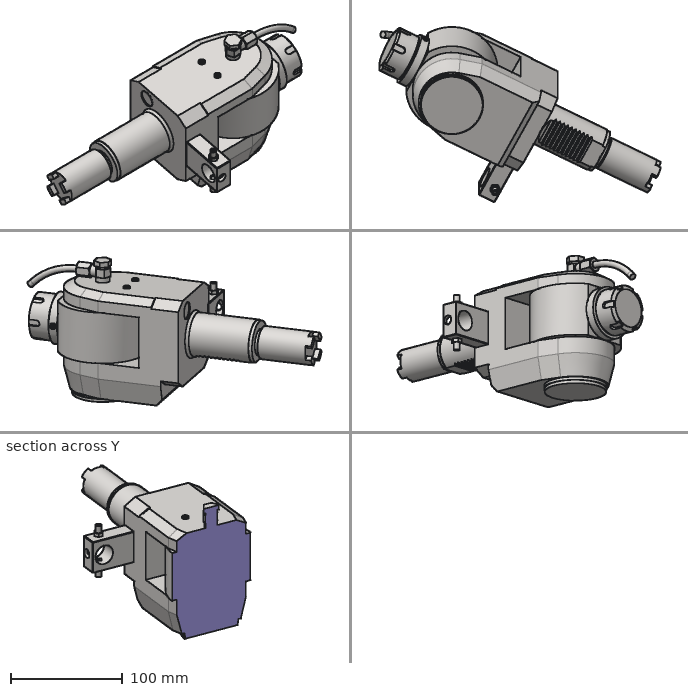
import cadquery as cq
import math


HALF_WIDTH = 39.0
TOP_Z = 40.2
DRUM_Y = 86.5
NOSE_RADIUS = 35.0
REAR_Y = DRUM_Y + NOSE_RADIUS
SIDE_END_Y = 76.5
BEVEL_WIDTH = 10.0
BEVEL_HEIGHT = 5.5
FRONT_DEPTH = 26.0
FRONT_BOTTOM_Z = -40.7
FRONT_BEVEL_WIDTH = 11.5
FRONT_BEVEL_HEIGHT = 7.0
SKIRT_TOP_Z = -38.8
SKIRT_BOTTOM_Z = -59.5
SKIRT_INSET = 5.2
SKIRT_FRONT_Y = 16.8
SKIRT_CHAMFER_Y = 5.8
SKIRT_CHAMFER_Z = 6.5

SLOT_HALF_HEIGHT = 24.0
SLOT_FRONT_Y = 37.5
DRUM_RADIUS = 41.0
DISC_RADIUS = 28.0
DISC_BOTTOM_Z = -65.2
DISC_STEP_Z = -62.2
DISC_LOWER_RADIUS = 27.5

PLUG_X = -16.2
PLUG_Z = 27.5
PLUG_RADIUS = 7.7
PLUG_RECESS = 1.0

FLANGE_RADIUS = 23.7
FLANGE_END_Y = 129.4
NUT_GROOVE_RADIUS = 19.8
NUT_START_Y = 130.5
NUT_RADIUS = 21.2
NUT_END_Y = 150.5
NUT_FACE_RADIUS = 17.3
NUT_CHAMFER_Y = 1.7
NUT_SLOT_COUNT = 6
NUT_SLOT_WIDTH = 5.8
NUT_SLOT_DEPTH = 2.5
NUT_SLOT_LENGTH = 11.5
SET_SCREW_RADIUS = 2.8
SET_SCREW_DEPTH = 1.0
SET_SCREW_SOCKET_RADIUS = 1.5
SET_SCREW_SOCKET_DEPTH = 2.8

COLLAR_RADIUS = 21.7
COLLAR_CONE_END_Y = -3.0
SHANK_RADIUS = 20.0
SHANK_STEP_Y = -59.7
SHANK_TIP_RADIUS = 19.5
SHANK_END_Y = -63.0
NECK_RADIUS = 12.0
DRIVE_START_Y = -66.3
DRIVE_RADIUS = 15.0
DRIVE_END_Y = -112.0
DRIVE_CHAMFER = 0.5
DOG_END_Y = -117.2
DOG_COUNT = 4
DOG_WIDTH = 9.5
DOG_INNER_RADIUS = 10.2
FLAT_Z = -16.2
FLAT_START_Y = -7.5
SERRATION_COUNT = 10
SERRATION_START_Y = -11.5
SERRATION_END_Y = -47.3
SERRATION_DEPTH = 1.7
SERRATION_HALF_WIDTH = 1.7

ARM_END_X = 82.0
ARM_FRONT_Y = 0.8
ARM_REAR_Y = 16.8
ARM_HALF_HEIGHT = 15.5
ARM_CHAMFER = 0.5
ARM_HOLE_X = 70.0
ARM_HOLE_RADIUS = 9.0
END_HOLE_RADIUS = 4.0
CLAMP_Y = 6.5
CLAMP_RADIUS = 2.8
CLAMP_END_Z = 25.3
CLAMP_INNER_Z = 10.7
CLAMP_NUT_HEIGHT = 3.3
CLAMP_NUT_CORNERS = 8.8
CLAMP_SOCKET_RADIUS = 1.5
CLAMP_SOCKET_DEPTH = 1.7

SCREW_X = 11.0
SCREW_Y = 59.5
SCREW_RADIUS = 3.0
SCREW_HEIGHT = 1.7
SCREW_CHAMFER = 0.8
SCREW_SOCKET_RADIUS = 1.5

STEM_RADIUS = 6.3
FITTING_TOP_Z = 59.7
CAP_BOTTOM_Z = 54.8
CAP_CORNERS = 16.0
FITTING_HEX_BOTTOM_Z = 44.9
FITTING_HEX_TOP_Z = 52.8
FITTING_HEX_FLATS = 13.0
PIPE_Z = 48.7
OUTLET_RADIUS = 5.2
PIPE_NUT_START_Y = 97.0
PIPE_NUT_END_Y = 109.8
PIPE_NUT_FLATS = 12.0
PIPE_NUT_BEVEL = 1.0
PIPE_RADIUS = 3.0
PIPE_BEND_RADIUS = 59.5
PIPE_BEND_START_Y = 110.6
PIPE_END_LENGTH = 4.5
DIAGONAL = math.sqrt(0.5)

SPACE = 550.5


def box(x0, x1, y0, y1, z0, z1):
    return cq.Workplane("XY").box(x1 - x0, y1 - y0, z1 - z0, centered=False).translate((x0, y0, z0))


def cylinder_z(x, y, radius, z0, z1):
    return cq.Workplane("XY", origin=(x, y, z0)).circle(radius).extrude(z1 - z0)


def hexagon_z(x, y, corners, z0, z1):
    """Hexagonal prism with two corners on the X direction."""
    return cq.Workplane("XY", origin=(x, y, z0)).polygon(6, corners).extrude(z1 - z0)


def turned(profile):
    """Solid of revolution about the Y axis from (radius, y) points."""
    return cq.Workplane("XY").polyline(profile).close().revolve(360, (0, 0, 0), (0, 1, 0))


def housing_outline(z):
    """Straight sides, converging flanks tangent to the rounded nose."""
    back = SIDE_END_Y - DRUM_Y
    to_corner = math.hypot(HALF_WIDTH, back)
    angle = math.atan2(back, HALF_WIDTH) + math.acos(NOSE_RADIUS / to_corner)
    tangent_x = NOSE_RADIUS * math.cos(angle)
    tangent_y = DRUM_Y + NOSE_RADIUS * math.sin(angle)
    return (
        cq.Workplane("XY", origin=(0, 0, z))
        .moveTo(-HALF_WIDTH, 0)
        .lineTo(HALF_WIDTH, 0)
        .lineTo(HALF_WIDTH, SIDE_END_Y)
        .lineTo(tangent_x, tangent_y)
        .threePointArc((0, REAR_Y), (-tangent_x, tangent_y))
        .lineTo(-HALF_WIDTH, SIDE_END_Y)
        .close()
    )


def make_front_block():
    inner = HALF_WIDTH - FRONT_BEVEL_WIDTH
    upper = TOP_Z - FRONT_BEVEL_HEIGHT
    lower = FRONT_BOTTOM_Z + FRONT_BEVEL_HEIGHT
    section = [
        (inner, TOP_Z), (HALF_WIDTH, upper), (HALF_WIDTH, lower), (inner, FRONT_BOTTOM_Z),
        (-inner, FRONT_BOTTOM_Z), (-HALF_WIDTH, lower), (-HALF_WIDTH, upper), (-inner, TOP_Z),
    ]
    block = cq.Workplane("XZ").polyline(section).close().extrude(-FRONT_DEPTH)
    overhang = box(-SPACE, SPACE, SKIRT_FRONT_Y, SPACE, -SPACE, 0)
    return block.cut(overhang)


def make_rear_body():
    bevel_z = TOP_Z - BEVEL_HEIGHT
    bevel_taper = math.degrees(math.atan2(BEVEL_WIDTH, BEVEL_HEIGHT))
    body = housing_outline(SKIRT_TOP_Z).extrude(bevel_z - SKIRT_TOP_Z)
    crown = housing_outline(bevel_z).extrude(BEVEL_HEIGHT, taper=bevel_taper)
    above_axis = box(-SPACE, SPACE, -SPACE, FRONT_DEPTH, 0, SPACE)
    below_axis = box(-SPACE, SPACE, -SPACE, SKIRT_FRONT_Y, -SPACE, 0)
    return body.union(crown).cut(above_axis).cut(below_axis)


def make_skirt():
    height = SKIRT_TOP_Z - SKIRT_BOTTOM_Z
    taper = math.degrees(math.atan2(SKIRT_INSET, height))
    skirt = housing_outline(SKIRT_TOP_Z).extrude(-height, taper=taper)
    side_profile = [
        (SKIRT_FRONT_Y, SKIRT_TOP_Z),
        (SKIRT_FRONT_Y, SKIRT_BOTTOM_Z + SKIRT_CHAMFER_Z),
        (SKIRT_FRONT_Y + SKIRT_CHAMFER_Y, SKIRT_BOTTOM_Z),
        (REAR_Y, SKIRT_BOTTOM_Z),
        (REAR_Y, SKIRT_TOP_Z),
    ]
    keep = cq.Workplane("YZ").polyline(side_profile).close().extrude(HALF_WIDTH, both=True)
    return skirt.intersect(keep)


def make_housing():
    housing = make_front_block().union(make_rear_body()).union(make_skirt())
    slot = box(-SPACE, SPACE, SLOT_FRONT_Y, SPACE, -SLOT_HALF_HEIGHT, SLOT_HALF_HEIGHT)
    drum = cylinder_z(0, DRUM_Y, DRUM_RADIUS, -SLOT_HALF_HEIGHT, SLOT_HALF_HEIGHT)
    drum = drum.cut(box(-SPACE, SPACE, REAR_Y, SPACE, -SPACE, SPACE))
    disc = cylinder_z(0, DRUM_Y, DISC_RADIUS, DISC_STEP_Z, SKIRT_BOTTOM_Z)
    disc = disc.union(cylinder_z(0, DRUM_Y, DISC_LOWER_RADIUS, DISC_BOTTOM_Z, DISC_STEP_Z))
    plug = cq.Workplane("XZ", origin=(PLUG_X, 0, PLUG_Z)).circle(PLUG_RADIUS).extrude(-PLUG_RECESS)
    return housing.cut(slot).union(drum).union(disc).cut(plug)


def make_collet_nut():
    nut = turned([
        (0, REAR_Y), (FLANGE_RADIUS, REAR_Y), (FLANGE_RADIUS, FLANGE_END_Y),
        (NUT_GROOVE_RADIUS, FLANGE_END_Y), (NUT_GROOVE_RADIUS, NUT_START_Y),
        (NUT_RADIUS, NUT_START_Y), (NUT_RADIUS, NUT_END_Y - NUT_CHAMFER_Y),
        (NUT_FACE_RADIUS, NUT_END_Y), (0, NUT_END_Y),
    ])
    slot_floor = NUT_RADIUS - NUT_SLOT_DEPTH
    half = NUT_SLOT_WIDTH / 2
    round_y = NUT_END_Y - NUT_SLOT_LENGTH + half
    slot = (
        cq.Workplane("YZ", origin=(slot_floor, 0, 0))
        .moveTo(NUT_END_Y, -half)
        .lineTo(round_y, -half)
        .threePointArc((round_y - half, 0), (round_y, half))
        .lineTo(NUT_END_Y, half)
        .close()
        .extrude(NUT_RADIUS)
    )
    for i in range(NUT_SLOT_COUNT):
        nut = nut.cut(slot.rotate((0, 0, 0), (0, 1, 0), i * 360 / NUT_SLOT_COUNT))
    flange_side = cq.Workplane("YZ", origin=(-FLANGE_RADIUS, (REAR_Y + FLANGE_END_Y) / 2, 0))
    set_screw = flange_side.circle(SET_SCREW_RADIUS).extrude(SET_SCREW_DEPTH)
    socket = flange_side.circle(SET_SCREW_SOCKET_RADIUS).extrude(SET_SCREW_SOCKET_DEPTH)
    return nut.cut(set_screw).cut(socket)


def cut_serrated_flat(shank):
    """Flat under the shank with a 45 degree run-out and V-shaped cross grooves."""
    run_out = COLLAR_RADIUS + FLAT_Z
    flat = [
        (FLAT_START_Y, FLAT_Z), (FLAT_START_Y + run_out, -COLLAR_RADIUS),
        (SHANK_END_Y, -COLLAR_RADIUS), (SHANK_END_Y, FLAT_Z),
    ]
    shank = shank.cut(cq.Workplane("YZ").polyline(flat).close().extrude(SHANK_RADIUS, both=True))
    pitch = (SERRATION_END_Y - SERRATION_START_Y) / (SERRATION_COUNT - 1)
    for i in range(SERRATION_COUNT):
        y = SERRATION_START_Y + i * pitch
        groove = [
            (y - SERRATION_HALF_WIDTH, FLAT_Z),
            (y, FLAT_Z + SERRATION_DEPTH),
            (y + SERRATION_HALF_WIDTH, FLAT_Z),
        ]
        shank = shank.cut(cq.Workplane("YZ").polyline(groove).close().extrude(SHANK_RADIUS, both=True))
    return shank


def make_shank():
    shank = turned([
        (0, 0), (COLLAR_RADIUS, 0), (SHANK_RADIUS, COLLAR_CONE_END_Y),
        (SHANK_RADIUS, SHANK_STEP_Y), (SHANK_TIP_RADIUS, SHANK_STEP_Y), (SHANK_TIP_RADIUS, SHANK_END_Y),
        (0, SHANK_END_Y),
    ])
    return cut_serrated_flat(shank)


def make_drive_end():
    drive = turned([
        (0, SHANK_END_Y), (NECK_RADIUS, SHANK_END_Y), (NECK_RADIUS, DRIVE_START_Y),
        (DRIVE_RADIUS - DRIVE_CHAMFER, DRIVE_START_Y), (DRIVE_RADIUS, DRIVE_START_Y - DRIVE_CHAMFER),
        (DRIVE_RADIUS, DOG_END_Y), (0, DOG_END_Y),
    ])
    waste = box(-SPACE, SPACE, DOG_END_Y, DRIVE_END_Y, -SPACE, SPACE)
    dog = box(DOG_INNER_RADIUS, SPACE, DOG_END_Y, DRIVE_END_Y, -DOG_WIDTH / 2, DOG_WIDTH / 2)
    for i in range(DOG_COUNT):
        waste = waste.cut(dog.rotate((0, 0, 0), (0, 1, 0), (i + 0.5) * 360 / DOG_COUNT))
    return drive.cut(waste)


def make_clamp_screw():
    """Upper clamp screw with its lock nut."""
    screw = cylinder_z(ARM_HOLE_X, CLAMP_Y, CLAMP_RADIUS, CLAMP_INNER_Z, CLAMP_END_Z)
    nut_top = ARM_HALF_HEIGHT + CLAMP_NUT_HEIGHT
    nut = hexagon_z(ARM_HOLE_X, CLAMP_Y, CLAMP_NUT_CORNERS, ARM_HALF_HEIGHT, nut_top)
    socket_floor = CLAMP_END_Z - CLAMP_SOCKET_DEPTH
    socket = cylinder_z(ARM_HOLE_X, CLAMP_Y, CLAMP_SOCKET_RADIUS, socket_floor, CLAMP_END_Z)
    return screw.union(nut).cut(socket)


def make_arm():
    arm = box(0, ARM_END_X, ARM_FRONT_Y, ARM_REAR_Y, -ARM_HALF_HEIGHT, ARM_HALF_HEIGHT)
    arm = arm.edges("|X or >X").chamfer(ARM_CHAMFER)
    hole = cq.Workplane("XZ", origin=(ARM_HOLE_X, 0, 0)).circle(ARM_HOLE_RADIUS).extrude(-SPACE)
    end_hole = cq.Workplane("YZ", origin=(ARM_HOLE_X, CLAMP_Y, 0)).circle(END_HOLE_RADIUS).extrude(SPACE)
    screw_hole = cylinder_z(ARM_HOLE_X, CLAMP_Y, CLAMP_RADIUS, -CLAMP_INNER_Z, CLAMP_INNER_Z)
    screw = make_clamp_screw()
    arm = arm.cut(hole).cut(end_hole).cut(screw_hole)
    return arm.union(screw).union(screw.mirror("XY"))


def make_cap_screw(x):
    screw = cylinder_z(x, SCREW_Y, SCREW_RADIUS, TOP_Z, TOP_Z + SCREW_HEIGHT)
    screw = screw.faces(">Z").chamfer(SCREW_CHAMFER)
    return screw.cut(cylinder_z(x, SCREW_Y, SCREW_SOCKET_RADIUS, TOP_Z + SCREW_CHAMFER, TOP_Z + SCREW_HEIGHT))


def make_fitting():
    corner_ratio = 2 / math.sqrt(3)
    stem = cylinder_z(0, DRUM_Y, STEM_RADIUS, TOP_Z, CAP_BOTTOM_Z)
    cap = hexagon_z(0, DRUM_Y, CAP_CORNERS, CAP_BOTTOM_Z, FITTING_TOP_Z)
    body = hexagon_z(0, 0, FITTING_HEX_FLATS * corner_ratio, FITTING_HEX_BOTTOM_Z, FITTING_HEX_TOP_Z)
    body = body.rotate((0, 0, 0), (0, 0, 1), 90).translate((0, DRUM_Y, 0))
    outlet_length = PIPE_NUT_START_Y - DRUM_Y
    outlet = cq.Workplane("XZ", origin=(0, DRUM_Y, PIPE_Z)).circle(OUTLET_RADIUS).extrude(-outlet_length)
    nut_corners = PIPE_NUT_FLATS * corner_ratio
    nut_length = PIPE_NUT_END_Y - PIPE_NUT_START_Y
    nut = cq.Workplane("XZ").polygon(6, nut_corners).extrude(-nut_length).rotate((0, 0, 0), (0, 1, 0), 90)
    rounding = cq.Workplane("XZ").circle(nut_corners / 2).extrude(-nut_length).edges().chamfer(PIPE_NUT_BEVEL)
    nut = nut.intersect(rounding).translate((0, PIPE_NUT_START_Y, PIPE_Z))
    return stem.union(cap).union(body).union(outlet).union(nut)


def make_pipe():
    """Straight out of the nut, bent down by 45 degrees, with a short straight end."""
    def bend_point(angle):
        drop = PIPE_BEND_RADIUS * (1 - math.cos(angle))
        return (PIPE_BEND_START_Y + PIPE_BEND_RADIUS * math.sin(angle), PIPE_Z - drop)

    end_y, end_z = bend_point(math.pi / 4)
    path = (
        cq.Workplane("YZ")
        .moveTo(PIPE_NUT_END_Y, PIPE_Z)
        .lineTo(PIPE_BEND_START_Y, PIPE_Z)
        .threePointArc(bend_point(math.pi / 8), (end_y, end_z))
        .lineTo(end_y + PIPE_END_LENGTH * DIAGONAL, end_z - PIPE_END_LENGTH * DIAGONAL)
    )
    return cq.Workplane("XZ", origin=(0, PIPE_NUT_END_Y, PIPE_Z)).circle(PIPE_RADIUS).sweep(path)


result = make_housing()
result = result.union(make_collet_nut()).union(make_shank()).union(make_drive_end()).union(make_arm())
for side in (-1, 1):
    result = result.union(make_cap_screw(side * SCREW_X))
result = result.union(make_fitting()).union(make_pipe())